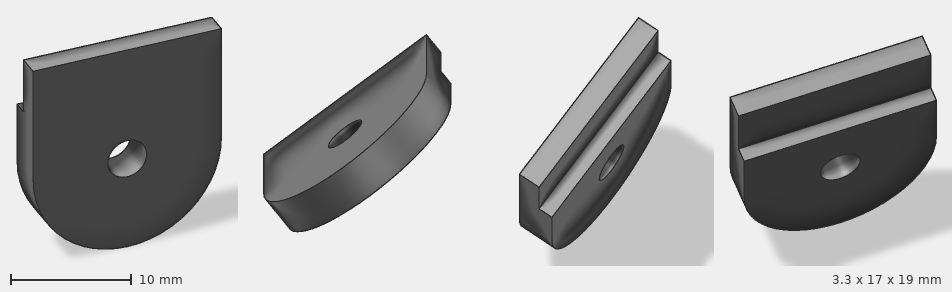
import cadquery as cq

height = 19.0
width = 17.0
total_thickness = 3.3
plate_thickness = 2.0
ledge_drop = 5.0
hole_diameter = 3.5

radius = width / 2
pad_thickness = total_thickness - plate_thickness
plate_top = height - radius
pad_top = plate_top - ledge_drop


def round_bottomed_slab(x_start, thickness, top):
    """Slab with a flat top and a half-round bottom about the X axis."""
    return (
        cq.Workplane("YZ", origin=(x_start, 0, 0))
        .moveTo(-radius, top)
        .lineTo(-radius, 0)
        .threePointArc((0, -radius), (radius, 0))
        .lineTo(radius, top)
        .close()
        .extrude(thickness)
    )


pad = round_bottomed_slab(0, pad_thickness, pad_top)
plate = round_bottomed_slab(pad_thickness, plate_thickness, plate_top)

hole = cq.Workplane("YZ").circle(hole_diameter / 2).extrude(total_thickness)

result = pad.union(plate).cut(hole)